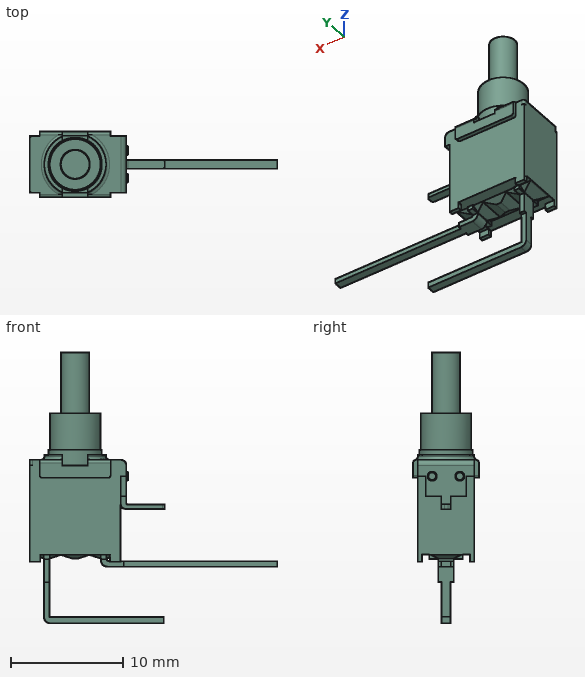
import cadquery as cq
import math


BLOCK_LENGTH = 8.12
BLOCK_WIDTH = 5.08
BLOCK_HALF_LENGTH = BLOCK_LENGTH / 2
FOOT_BOTTOM_Z = -9.11
FLOOR_Z = -8.45
FOOT_LENGTH = 0.97
FOOT_WIDTH = 0.4
CORNER_RADIUS = 0.25
CORNER_HEIGHT = 0.5

BUSHING_DIAMETER = 4.52
BUSHING_TOP_Z = 4.15
COLLAR_DIAMETER = 4.79
COLLAR_TOP_Z = 0.87
BORE_DIAMETER = 2.63
BORE_FLOOR_Z = 0.0

PLUNGER_DIAMETER = 2.54
PLUNGER_TOP_Z = 9.57

RING_RADIUS = 2.75
RING_TOP_Z = 0.44
FLARE_RADIUS = 0.3

SHEET = 0.4
BRACKET_WIDTH = BLOCK_WIDTH + 2 * SHEET
TAB_LENGTH = 6.33
TAB_BOTTOM_Z = -1.62
TAB_CORNER_RADIUS = 0.25
BRACKET_EDGE_RADIUS = 0.3
NOTCH_WIDTH = 2.27
NOTCH_FLOOR_Z = -0.55
NOTCH_LEDGE_Z = -0.48
END_PLATE_THICKNESS = 0.5
END_PLATE_X = BLOCK_HALF_LENGTH + END_PLATE_THICKNESS
END_PLATE_BOTTOM_Z = -1.47
LEG_WIDTH = 3.63
LEG_SHOULDER_Z = -3.26
SUPPORT_BOTTOM_Z = -4.4
SUPPORT_END_X = 8.0
SUPPORT_CORNER_RADIUS = 0.25
SUPPORT_INNER_RADIUS = 0.12

RIVET_DIAMETER = 0.82
RIVET_HEIGHT = 0.15
RIVET_CHAMFER = 0.07
RIVET_OFFSET_Y = 1.23

TERMINAL_THICKNESS = 0.5
TERMINAL_SPACING = 2.54
TERMINAL_WIDTH = 0.82
SHANK_WIDTH = 1.4
ROOT_WIDTH = 3.0
ROOT_BOTTOM_Z = -8.87
BEND_RADIUS = 0.58
LOW_SHOULDER_Z = -10.92
LOW_FLAT_THICKNESS = 0.58
OVERALL_HEIGHT = 24.17
LOW_BOTTOM_Z = PLUNGER_TOP_Z - OVERALL_HEIGHT
LOW_END_X = 7.9
LONG_BOTTOM_Z = -9.55
LONG_INNER_RADIUS = 0.25
LONG_SHOULDER_X = 4.33
LONG_END_X = 18.03

MOUND_HEIGHT = 0.36
MOUND_BASE_WIDTH = 2.8
MOUND_MID_REACH = 0.5
MOUND_MID_DEPTH = 0.45


def box(x_range, y_range, z_range):
    """Axis-aligned box given by its two ends along each axis."""
    (x0, x1), (y0, y1), (z0, z1) = x_range, y_range, z_range
    return cq.Workplane("XY").box(x1 - x0, y1 - y0, z1 - z0, centered=False).translate((x0, y0, z0))


def centred(width):
    """The two ends of a width centred on zero."""
    return (-width / 2, width / 2)


def cylinder(diameter, bottom_z, top_z):
    """Upright cylinder on the plunger axis."""
    return cq.Workplane("XY").workplane(offset=bottom_z).circle(diameter / 2).extrude(top_z - bottom_z)


def make_block():
    """Block standing on four corner feet."""
    length = centred(BLOCK_LENGTH)
    width = centred(BLOCK_WIDTH)
    lower = box(length, width, (FOOT_BOTTOM_Z, -CORNER_HEIGHT))
    upper = box(length, width, (-CORNER_HEIGHT, 0)).edges("|Z and <X").fillet(CORNER_RADIUS)
    gap_z = (FOOT_BOTTOM_Z, FLOOR_Z)
    lower = lower.cut(box(centred(BLOCK_LENGTH - 2 * FOOT_LENGTH), width, gap_z))
    lower = lower.cut(box(length, centred(BLOCK_WIDTH - 2 * FOOT_WIDTH), gap_z))
    return lower.union(upper)


def make_side_tabs():
    """Bracket tabs on the -Y and +Y sides, joined across the top of the block."""
    tabs = box(centred(TAB_LENGTH), centred(BRACKET_WIDTH), (TAB_BOTTOM_Z, 0))
    tabs = tabs.edges("|Y and <Z").fillet(TAB_CORNER_RADIUS)
    return tabs.faces(">Z").edges("|X").fillet(BRACKET_EDGE_RADIUS)


def make_ring():
    """Raised ring whose foot flares outward in a concave quarter round, trimmed at the tab edges."""
    flare_mid = FLARE_RADIUS * (1 - math.sqrt(0.5))
    outline = (
        cq.Workplane("XZ")
        .moveTo(0, 0)
        .lineTo(RING_RADIUS + FLARE_RADIUS, 0)
        .threePointArc((RING_RADIUS + flare_mid, flare_mid), (RING_RADIUS, FLARE_RADIUS))
        .lineTo(RING_RADIUS, RING_TOP_Z)
        .lineTo(0, RING_TOP_Z)
        .close()
    )
    ring = outline.revolve(360, (0, 0, 0), (0, 1, 0))
    flat_width = BRACKET_WIDTH - 2 * BRACKET_EDGE_RADIUS
    return ring.intersect(box(centred(BLOCK_LENGTH), centred(flat_width), (0, RING_TOP_Z)))


def bent_strip(x0, x1, top_z, bottom_z, upright, flat, outer_radius, inner_radius=0):
    """Outline of an L-bent strip: upright at x0 from top_z down, then flat to x1; as wide as the part."""
    strip = (
        cq.Workplane("XZ")
        .moveTo(x0, top_z)
        .lineTo(x0, bottom_z)
        .lineTo(x1, bottom_z)
        .lineTo(x1, bottom_z + flat)
        .lineTo(x0 + upright, bottom_z + flat)
        .lineTo(x0 + upright, top_z)
        .close()
        .extrude(BRACKET_WIDTH / 2, both=True)
    )
    strip = strip.edges("|Y and <X and <Z").fillet(outer_radius)
    if inner_radius:
        corner = cq.selectors.NearestToPointSelector((x0 + upright, 0, bottom_z + flat))
        strip = strip.edges("|Y").edges(corner).fillet(inner_radius)
    return strip


def width_limit(bands):
    """Union of boxes that trims a strip: each band gives (x_range, width, z_range)."""
    limit = cq.Workplane("XY")
    for x_range, width, z_range in bands:
        limit = limit.union(box(x_range, centred(width), z_range))
    return limit


def make_end_plate_and_leg():
    """Bracket plate on the +X side that narrows into a leg and bends out into a support foot."""
    plate_x = (BLOCK_HALF_LENGTH, END_PLATE_X)
    foot_x = (BLOCK_HALF_LENGTH, SUPPORT_END_X)
    plate = box((0, END_PLATE_X), centred(BLOCK_WIDTH), (END_PLATE_BOTTOM_Z, 0))
    plate = plate.edges("|Y and >X and >Z").fillet(END_PLATE_THICKNESS)
    leg = bent_strip(
        BLOCK_HALF_LENGTH, SUPPORT_END_X, END_PLATE_BOTTOM_Z, SUPPORT_BOTTOM_Z,
        END_PLATE_THICKNESS, SHEET, SHEET, SUPPORT_INNER_RADIUS,
    )
    foot = box(foot_x, centred(TERMINAL_WIDTH), (SUPPORT_BOTTOM_Z, LEG_SHOULDER_Z))
    foot = foot.edges("|Z and >X").fillet(SUPPORT_CORNER_RADIUS)
    upper_leg = box(plate_x, centred(LEG_WIDTH), (LEG_SHOULDER_Z, END_PLATE_BOTTOM_Z))
    return plate.union(leg.intersect(foot.union(upper_leg)))


def make_rivets():
    """Two chamfered rivet heads on the outside of the end plate."""
    head = (
        cq.Workplane("YZ", origin=(END_PLATE_X, 0, END_PLATE_BOTTOM_Z))
        .circle(RIVET_DIAMETER / 2)
        .extrude(RIVET_HEIGHT)
        .faces(">X")
        .chamfer(RIVET_CHAMFER)
    )
    rivets = cq.Workplane("XY")
    for y in (-RIVET_OFFSET_Y, RIVET_OFFSET_Y):
        rivets = rivets.union(head.translate((0, y, 0)))
    return rivets


def make_low_terminal():
    """Terminal that steps down in width twice and bends at the bottom toward +X."""
    x0 = -TERMINAL_SPACING - TERMINAL_THICKNESS / 2
    x_range = (x0, LOW_END_X)
    strip = bent_strip(
        x0, LOW_END_X, FLOOR_Z, LOW_BOTTOM_Z, TERMINAL_THICKNESS, LOW_FLAT_THICKNESS, BEND_RADIUS
    )
    bands = [
        (x_range, ROOT_WIDTH, (ROOT_BOTTOM_Z, FLOOR_Z)),
        (x_range, SHANK_WIDTH, (LOW_SHOULDER_Z, ROOT_BOTTOM_Z)),
        (x_range, TERMINAL_WIDTH, (LOW_BOTTOM_Z, LOW_SHOULDER_Z)),
    ]
    return strip.intersect(width_limit(bands))


def make_long_terminal():
    """Terminal that bends out directly under the block and narrows outside it."""
    x0 = TERMINAL_SPACING - TERMINAL_THICKNESS / 2
    strip = bent_strip(
        x0, LONG_END_X, FLOOR_Z, LONG_BOTTOM_Z,
        TERMINAL_THICKNESS, TERMINAL_THICKNESS, BEND_RADIUS, LONG_INNER_RADIUS,
    )
    bend_z = (LONG_BOTTOM_Z, ROOT_BOTTOM_Z)
    bands = [
        ((x0, LONG_END_X), ROOT_WIDTH, (ROOT_BOTTOM_Z, FLOOR_Z)),
        ((x0, LONG_SHOULDER_X), SHANK_WIDTH, bend_z),
        ((LONG_SHOULDER_X, LONG_END_X), TERMINAL_WIDTH, bend_z),
    ]
    return strip.intersect(width_limit(bands))


def mound_profile(plane, base_width, tip_width):
    """Prism under the block whose two sides curve inward from base to tip."""
    base, tip = base_width / 2, tip_width / 2
    mid_x = tip + (base - tip) * MOUND_MID_REACH
    mid_z = -MOUND_HEIGHT * MOUND_MID_DEPTH
    return (
        cq.Workplane(plane, origin=(0, 0, FLOOR_Z))
        .moveTo(-base, 0)
        .threePointArc((-mid_x, mid_z), (-tip, -MOUND_HEIGHT))
        .lineTo(tip, -MOUND_HEIGHT)
        .threePointArc((mid_x, mid_z), (base, 0))
        .close()
        .extrude(MOUND_BASE_WIDTH, both=True)
    )


def make_sealant_mounds():
    """Sealant mounds around both terminals and midway between them."""
    lengthwise = mound_profile("XZ", MOUND_BASE_WIDTH, TERMINAL_THICKNESS)
    crosswise = mound_profile("YZ", MOUND_BASE_WIDTH, SHANK_WIDTH)
    mound = lengthwise.intersect(crosswise)
    mounds = cq.Workplane("XY")
    for x in (-TERMINAL_SPACING, 0, TERMINAL_SPACING):
        mounds = mounds.union(mound.translate((x, 0, 0)))
    return mounds


def make_notches():
    """Tool that cuts the ring, the block and both side tabs down beside the collar."""
    notch_x = centred(NOTCH_WIDTH)
    ledge_notch = box(notch_x, centred(BRACKET_WIDTH), (NOTCH_LEDGE_Z, RING_TOP_Z))
    tab_notch = box(notch_x, centred(BRACKET_WIDTH), (NOTCH_FLOOR_Z, RING_TOP_Z))
    tab_notch = tab_notch.cut(box(notch_x, centred(BLOCK_WIDTH), (NOTCH_FLOOR_Z, RING_TOP_Z)))
    return ledge_notch.union(tab_notch)


def make_housing():
    """Block, bracket, bushing and terminals as one body with a bore for the plunger."""
    housing = make_block().union(make_side_tabs()).union(make_end_plate_and_leg()).union(make_ring())
    housing = housing.cut(make_notches())
    housing = housing.union(cylinder(COLLAR_DIAMETER, NOTCH_FLOOR_Z, COLLAR_TOP_Z))
    housing = housing.union(cylinder(BUSHING_DIAMETER, COLLAR_TOP_Z, BUSHING_TOP_Z))
    housing = housing.union(make_rivets()).union(make_sealant_mounds())
    housing = housing.union(make_low_terminal()).union(make_long_terminal())
    return housing.cut(cylinder(BORE_DIAMETER, BORE_FLOOR_Z, BUSHING_TOP_Z))


def make_plunger():
    """Plain round plunger standing on the floor of the bore."""
    return cylinder(PLUNGER_DIAMETER, BORE_FLOOR_Z, PLUNGER_TOP_Z)


housing = make_housing()
plunger = make_plunger()
result = cq.Compound.makeCompound([housing.val(), plunger.val()])